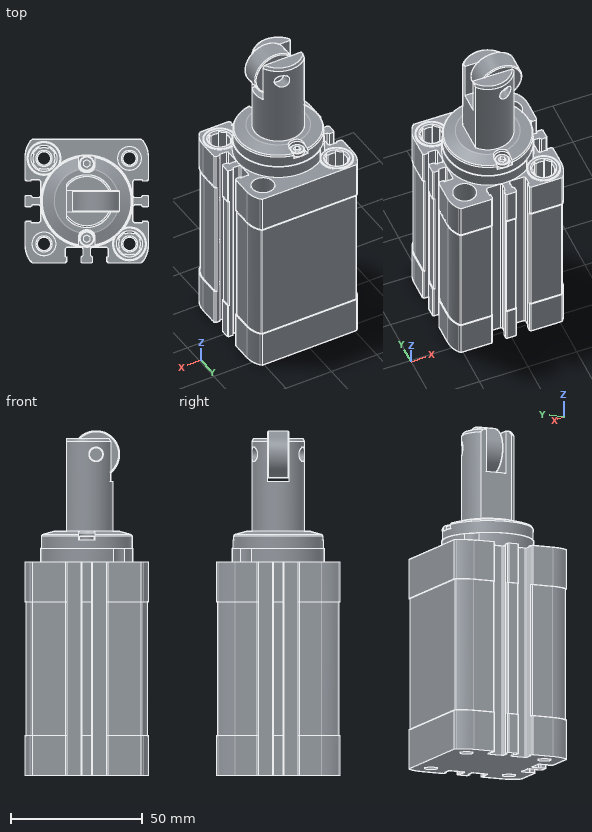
import cadquery as cq
import math

total_height = 131.0
width = 47.0
half = width / 2
end_height = 15.2
housing_top = 81.2
barrel_inset = 0.4
corner_radius = 10.9
corner_start = 16.5
corner_arc_end_x = 21.5
corner_face_x = 20.7

slot_floor = 17.5
slot_half_width = 8.1
lip_half_width = 7.6
lip_depth = 2.4
lip_bevel = 0.5
rail_head_half = 2.2
rail_neck_half = 1.5
rail_head_depth = 2.2
rail_edge_bevel = 0.4
rail_neck_bevel = 0.7
slot_root_bevel = 0.5

bolt_offset = 16.2
bolt_hole_diameter = 5.0
bolt_countersink_diameter = 6.2
plain_bore_diameter = 9.0
bore_depth = 10.5
ring_diameter = 12.8
ring_bevel = 0.4
socket_diameter = 8.3
socket_mouth_diameter = 10.0
socket_bevel_depth = 0.8
notch_width = 3.1
notch_reach = 4.5
notch_angles = (45, 135)

neck_diameter = 35.1
neck_top = 86.3
cap_diameter = 34.6
cap_edge_z = 90.9
cap_bevel_z = 91.6
cap_bevel = 0.4
cap_flat_diameter = 24.6
cap_top = 92.9

screw_offset = 14.3
pocket_diameter = 6.2
pocket_mouth_diameter = 7.0
pocket_mouth_depth = 0.8
pocket_floor = 89.5
screw_diameter = 5.5
screw_top = 91.0
screw_edge = 0.3
hex_across_flats = 2.5
hex_depth = 1.3

rod_diameter = 20.0
rod_flat_x = -7.7
rod_top = 128.1
rod_bevel_width = 0.7
rod_bevel_height = 1.2
fork_floor = 111.7
fork_width = 8.1

roller_diameter = 18.0
roller_edge = 0.4
roller_x = 3.5
roller_z = total_height - roller_diameter / 2

pin_diameter = 5.5
pin_length = 11.8
pin_edge = 0.3


def cylinder(diameter, bottom, top, x=0, y=0):
    return cq.Workplane(cq.Plane((x, y, bottom))).circle(diameter / 2).extrude(top - bottom)


def cone(bottom_diameter, bottom, top_diameter, top, x=0, y=0):
    lower = cq.Workplane(cq.Plane((x, y, bottom))).circle(bottom_diameter / 2)
    return lower.workplane(offset=top - bottom).circle(top_diameter / 2).loft()


def roller_axis_cylinder(diameter, length):
    """Cylinder along Y on the roller axis, centred on Y = 0."""
    start = cq.Workplane("XZ", origin=(roller_x, length / 2, roller_z))
    return start.circle(diameter / 2).extrude(length)


def outline(inset):
    """Square profile whose arc corners leave the X sides and end in a small bevel on the Y sides."""
    edge = half - inset
    radius = corner_radius - inset
    arc_center_x = half - corner_radius
    arc_end_x = corner_arc_end_x - inset
    arc_end_y = corner_start + math.sqrt(radius ** 2 - (arc_end_x - arc_center_x) ** 2)
    arc_mid_y = (corner_start + arc_end_y) / 2
    arc_mid_x = arc_center_x + math.sqrt(radius ** 2 - (arc_mid_y - corner_start) ** 2)
    profile = cq.Workplane().moveTo(-corner_face_x, -edge)
    for side in (1, -1):
        profile = (
            profile.lineTo(side * corner_face_x, -side * edge)
            .lineTo(side * arc_end_x, -side * arc_end_y)
            .threePointArc((side * arc_mid_x, -side * arc_mid_y), (side * edge, -side * corner_start))
            .lineTo(side * edge, side * corner_start)
            .threePointArc((side * arc_mid_x, side * arc_mid_y), (side * arc_end_x, side * arc_end_y))
            .lineTo(side * corner_face_x, side * edge)
        )
    return profile.close()


def slot(side, inset, height):
    """One undercut slot of the -Y side, between the lip and the rail; side is -1 or 1."""
    face_y = inset - half
    lip_y = -half + lip_depth
    head_y = -half + rail_head_depth
    points = [
        (lip_half_width + lip_bevel, face_y),
        (lip_half_width, face_y + lip_bevel),
        (lip_half_width, lip_y),
        (slot_half_width, lip_y),
        (slot_half_width, -slot_floor - slot_root_bevel),
        (slot_half_width - slot_root_bevel, -slot_floor),
        (rail_neck_half + slot_root_bevel, -slot_floor),
        (rail_neck_half, -slot_floor - slot_root_bevel),
        (rail_neck_half, head_y + rail_neck_bevel),
        (rail_head_half, head_y),
        (rail_head_half, face_y + rail_edge_bevel),
        (rail_head_half - rail_edge_bevel, face_y),
    ]
    return cq.Workplane().polyline([(side * x, y) for x, y in points]).close().extrude(height)


def section(inset, bottom, top):
    """Slice of the slotted housing with its sides set in by `inset`."""
    height = top - bottom
    body = outline(inset).extrude(height)
    for angle in (-90, 0, 90):
        for side in (-1, 1):
            body = body.cut(slot(side, inset, height).rotate((0, 0, 0), (0, 0, 1), angle))
    return body.translate((0, 0, bottom))


def notched_socket(x, y):
    """Bevelled socket with notches on its diagonals, inside a V groove."""
    bevel_floor = housing_top - socket_bevel_depth
    bore_floor = housing_top - bore_depth
    socket = cylinder(socket_diameter, bore_floor, housing_top, x, y)
    socket = socket.union(cone(socket_diameter, bevel_floor, socket_mouth_diameter, housing_top, x, y))
    for angle in notch_angles:
        bar = (
            cq.Workplane()
            .box(2 * notch_reach, notch_width, bore_depth)
            .rotate((0, 0, 0), (0, 0, 1), angle)
            .translate((x, y, housing_top - bore_depth / 2))
        )
        socket = socket.union(bar)
    groove_floor = housing_top - ring_bevel
    groove = cylinder(ring_diameter, groove_floor, housing_top, x, y)
    land = cone(ring_diameter, groove_floor, ring_diameter - 2 * ring_bevel, housing_top, x, y)
    return socket.union(groove.cut(land))


def screw_pocket(side):
    """Round pocket that runs out through the rim of the cap; side is -1 or 1 along Y."""
    y = side * screw_offset
    pocket = cylinder(pocket_diameter, pocket_floor, cap_top, 0, y)
    runout = cq.Workplane().box(pocket_diameter, cap_diameter / 2, cap_top - pocket_floor)
    runout = runout.translate((0, y + side * cap_diameter / 4, (cap_top + pocket_floor) / 2))
    mouth = cone(pocket_diameter, cap_top - pocket_mouth_depth, pocket_mouth_diameter, cap_top, 0, y)
    return pocket.union(runout).union(mouth)


def guide_cap():
    """Conical top of the housing, with the screw pockets and the bore that holds the rod."""
    rim = cap_diameter / 2
    profile = [
        (0, neck_top),
        (rim, neck_top),
        (rim, cap_edge_z),
        (rim - cap_bevel, cap_bevel_z),
        (cap_flat_diameter / 2, cap_top),
        (0, cap_top),
    ]
    cap = cq.Workplane("XZ").polyline(profile).close().revolve(360, (0, 0), (0, 1))
    for side in (-1, 1):
        cap = cap.cut(screw_pocket(side))
    return cap.cut(rod_blank())


def make_housing():
    barrel_top = housing_top - end_height
    body = section(0, 0, end_height)
    body = body.union(section(barrel_inset, end_height, barrel_top))
    body = body.union(section(0, barrel_top, housing_top))

    neck = cylinder(neck_diameter, housing_top, neck_top)
    bore_floor = housing_top - bore_depth
    countersink_floor = bore_floor - (bolt_countersink_diameter - bolt_hole_diameter) / 2
    for x in (-bolt_offset, bolt_offset):
        for y in (-bolt_offset, bolt_offset):
            body = body.cut(cylinder(bolt_hole_diameter, 0, housing_top, x, y))
            body = body.cut(
                cone(bolt_hole_diameter, countersink_floor, bolt_countersink_diameter, bore_floor, x, y)
            )
            if x * y > 0:
                body = body.cut(cylinder(plain_bore_diameter, bore_floor, housing_top, x, y))
            else:
                body = body.cut(notched_socket(x, y))
                neck = neck.cut(cylinder(ring_diameter, housing_top, neck_top, x, y))
    return body.union(neck).union(guide_cap())


def make_screw(side):
    y = side * screw_offset
    hex_corners = hex_across_flats / math.cos(math.pi / 6)
    head = cylinder(screw_diameter, pocket_floor, screw_top, 0, y).faces(">Z").chamfer(screw_edge)
    socket = cq.Workplane().polygon(6, hex_corners).extrude(hex_depth).rotate((0, 0, 0), (0, 0, 1), 30)
    return head.cut(socket.translate((0, y, screw_top - hex_depth)))


def rod_blank():
    """Bevelled round rod with one flat facing -X, standing on the neck of the housing."""
    radius = rod_diameter / 2
    profile = [
        (0, neck_top),
        (radius, neck_top),
        (radius, rod_top - rod_bevel_height),
        (radius - rod_bevel_width, rod_top),
        (0, rod_top),
    ]
    rod = cq.Workplane("XZ").polyline(profile).close().revolve(360, (0, 0), (0, 1))
    beyond_flat = cq.Workplane(cq.Plane((rod_flat_x - radius, 0, neck_top)))
    return rod.cut(beyond_flat.rect(2 * radius, rod_diameter).extrude(rod_top - neck_top))


def make_rod():
    fork = cq.Workplane(cq.Plane((0, 0, fork_floor)))
    fork = fork.rect(rod_diameter, fork_width).extrude(rod_top - fork_floor)
    return rod_blank().cut(fork).cut(roller_axis_cylinder(pin_diameter, rod_diameter))


def make_roller():
    roller = roller_axis_cylinder(roller_diameter, fork_width).faces("<Y or >Y").chamfer(roller_edge)
    return roller.cut(roller_axis_cylinder(pin_diameter, fork_width))


def make_pin():
    return roller_axis_cylinder(pin_diameter, pin_length).faces("<Y or >Y").chamfer(pin_edge)


housing = make_housing()
screws = [make_screw(side) for side in (-1, 1)]
rod = make_rod()
roller = make_roller()
pin = make_pin()

result = cq.Compound.makeCompound(
    [housing.val(), *[screw.val() for screw in screws], rod.val(), roller.val(), pin.val()]
)